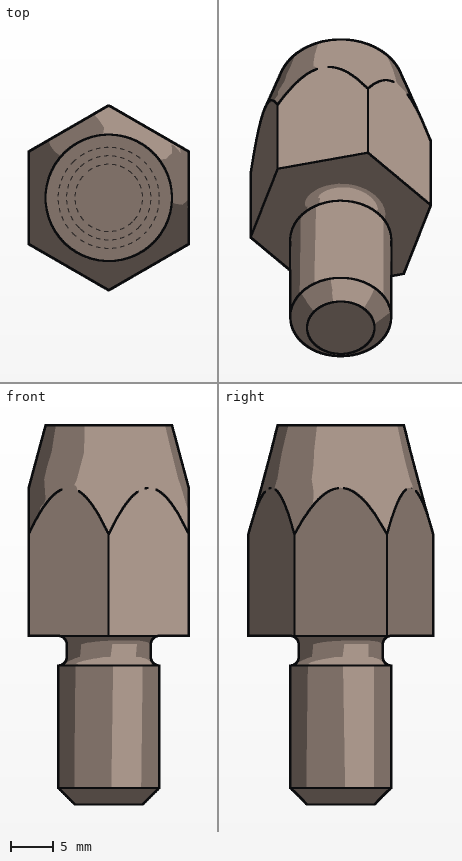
import cadquery as cq
import math

hex_sides = 6
across_flats = 19.0
head_height = 25.0
tip_diameter = 15.0
taper_angle = 15.0

shank_diameter = 12.0
shank_length = 20.0
end_chamfer = 2.0
neck_diameter = 10.0
neck_length = 3.5

total_height = shank_length + head_height
half_side_angle = 180 / hex_sides
across_corners = across_flats / math.cos(math.radians(half_side_angle))
shank_radius = shank_diameter / 2
neck_radius = neck_diameter / 2
neck_fillet = shank_radius - neck_radius
tip_radius = tip_diameter / 2


def hexagonal_head():
    """Hexagonal prism with two flats facing +X and -X."""
    return (
        cq.Workplane("XY")
        .workplane(offset=shank_length)
        .polygon(hex_sides, across_corners)
        .extrude(head_height)
        .rotate((0, 0, 0), (0, 0, 1), half_side_angle)
    )


def nose_envelope():
    """Cone frustum, flush with the tip, that tapers the hexagon's upper end."""
    base_radius = tip_radius + head_height * math.tan(math.radians(taper_angle))
    profile = (
        cq.Workplane("XZ")
        .moveTo(0, shank_length)
        .lineTo(base_radius, shank_length)
        .lineTo(tip_radius, total_height)
        .lineTo(0, total_height)
        .close()
    )
    return profile.revolve(360, (0, 0, 0), (0, 1, 0))


def shank():
    """Round shank with a chamfered end and a filleted relief neck below the head."""
    neck_bottom = shank_length - neck_length
    arc_offset = neck_fillet * (1 - math.sqrt(0.5))
    profile = (
        cq.Workplane("XZ")
        .moveTo(0, 0)
        .lineTo(shank_radius - end_chamfer, 0)
        .lineTo(shank_radius, end_chamfer)
        .lineTo(shank_radius, neck_bottom)
        .threePointArc(
            (neck_radius + arc_offset, neck_bottom + arc_offset),
            (neck_radius, neck_bottom + neck_fillet),
        )
        .lineTo(neck_radius, shank_length - neck_fillet)
        .threePointArc(
            (neck_radius + arc_offset, shank_length - arc_offset),
            (shank_radius, shank_length),
        )
        .lineTo(0, shank_length)
        .close()
    )
    return profile.revolve(360, (0, 0, 0), (0, 1, 0))


head = hexagonal_head().intersect(nose_envelope())
result = head.union(shank())